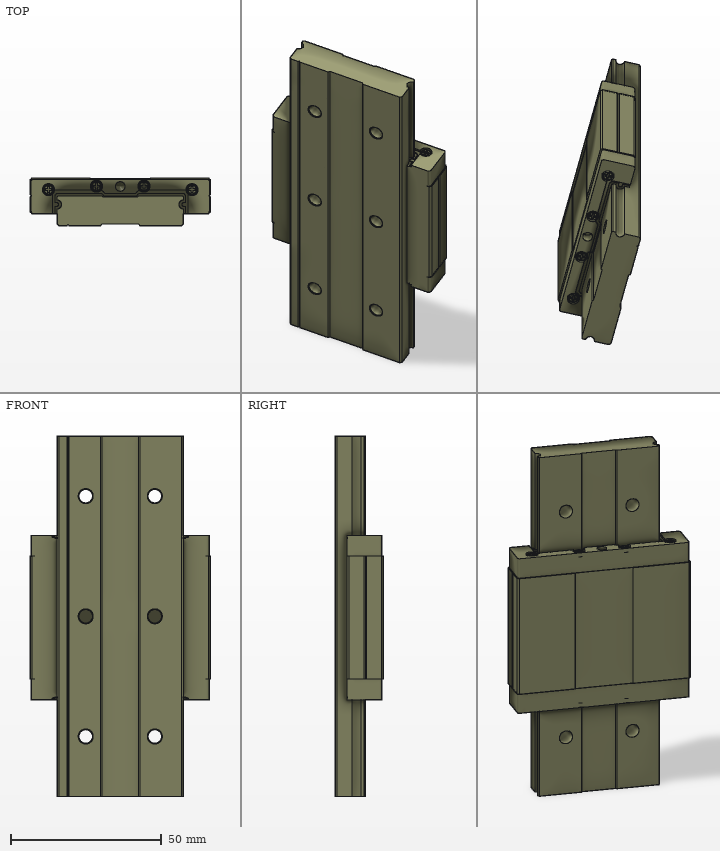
import cadquery as cq
import math


RAIL_LENGTH = 120.0
RAIL_WIDTH = 42.0
RAIL_HEIGHT = 10.0
RAIL_CHAMFER = 0.6
RAIL_TOP_CHAMFER = 0.4
BASE_RELIEF_HALF_WIDTH = 6.6
BASE_RELIEF_DEPTH = 0.55
TOP_RELIEF_HALF_WIDTH = 6.2
TOP_RELIEF_DEPTH = 0.4
RACE_RADIUS = 1.5
RACE_HEIGHT = 7.1
RACE_ARC_BULGE = 0.68
MARK_GROOVE_X = -17.4
MARK_GROOVE_DEPTH = 0.4
HOLE_DIAMETER = 4.5
HOLE_CHAMFER = 0.25
HOLE_SPACING_X = 23.0
HOLE_PITCH_Z = 40.0

CARRIAGE_WIDTH = 60.0
CARRIAGE_LENGTH = 54.8
CARRIAGE_OFFSET_Z = -0.45
CARRIAGE_BOTTOM = 4.0
CARRIAGE_TOP = 16.0
BODY_LENGTH = 41.0
BODY_CHAMFER = 0.65
BACK_RELIEF_WIDTH = 20.0
BACK_RELIEF_DEPTH = 0.3
SIDE_GROOVE_HEIGHT = 10.0
SIDE_GROOVE_DEPTH = 0.4
CAP_SIDE_INSET = 0.35
CAP_TOP_INSET = 0.5
CAP_BOTTOM_FILLET = 1.05
CAP_TOP_FILLET = 0.7

END_GAP = 0.8
END_GAP_DEPTH = 1.0
END_GAP_CHAMFER = 0.7
MOUTH_STEP = 0.8
MOUTH_STEP_HEIGHT = 1.1
MOUTH_DEPTH = 0.7
RETAINER_RADIUS = 0.7
RETAINER_REACH = 1.25

OUTER_SCREW = (23.9, 12.05)
INNER_SCREW = (7.9, 13.2)
SCREW_POCKET_DIAMETER = 4.0
SCREW_POCKET_DEPTH = 1.5
SCREW_HEAD_DIAMETER = 3.4
SCREW_HEAD_HEIGHT = 1.3
SCREW_HEAD_CHAMFER = 0.3
CROSS_LENGTH = 2.0
CROSS_WIDTH = 0.6
CROSS_DEPTH = 0.7
PORT_HEIGHT = 13.1
PORT_DIAMETER = 3.2
PORT_DEPTH = 4.0
DRILL_POINT_ANGLE = 118.0

SIDES = (-1, 1)


def extrude_centred(outline, length):
    """Extrude a wire workplane lying in XY by the given length, half to each side of Z = 0."""
    return outline.extrude(length / 2, both=True)


def box(x_size, y_low, y_high, z_size):
    """Box centred on X and Z, between two heights."""
    return cq.Workplane("XY").box(x_size, y_high - y_low, z_size).translate((0, (y_low + y_high) / 2, 0))


def prism_along_z(x, y, diagonal_half, length):
    """Square prism standing on its corner, which cuts a V groove in a flat face."""
    points = [(x - diagonal_half, y), (x, y - diagonal_half), (x + diagonal_half, y), (x, y + diagonal_half)]
    return extrude_centred(cq.Workplane("XY").polyline(points).close(), length)


def trapezoid_along_z(y_face, y_floor, half_width, length):
    """Shallow trough with 45 degree flanks; half_width is measured at the face."""
    floor_half_width = half_width - abs(y_face - y_floor)
    points = [
        (-half_width, y_face),
        (half_width, y_face),
        (floor_half_width, y_floor),
        (-floor_half_width, y_floor),
    ]
    return extrude_centred(cq.Workplane("XY").polyline(points).close(), length)


def race_groove(side):
    """Ball groove in one rail side: an upper and a lower arc that meet in a slight point."""
    edge = side * RAIL_WIDTH / 2
    bottom = edge - side * RACE_RADIUS
    diagonal = RACE_RADIUS * RACE_ARC_BULGE
    outline = (
        cq.Workplane("XY")
        .moveTo(edge, RACE_HEIGHT + RACE_RADIUS)
        .threePointArc((edge - side * diagonal, RACE_HEIGHT + diagonal), (bottom, RACE_HEIGHT))
        .threePointArc((edge - side * diagonal, RACE_HEIGHT - diagonal), (edge, RACE_HEIGHT - RACE_RADIUS))
        .close()
    )
    return extrude_centred(outline, RAIL_LENGTH)


def rail_mounting_hole(x, z):
    """Through hole along Y with a chamfered mouth in the mounting face."""
    radius = HOLE_DIAMETER / 2
    outline = [
        (0, 0),
        (radius + HOLE_CHAMFER, 0),
        (radius, HOLE_CHAMFER),
        (radius, RAIL_HEIGHT),
        (0, RAIL_HEIGHT),
    ]
    hole = cq.Workplane("XY").polyline(outline).close().revolve(360, (0, 0, 0), (0, 1, 0))
    return hole.translate((x, 0, z))


def make_rail_bar():
    """Full rail section over the whole length, without the mounting holes."""
    rail = box(RAIL_WIDTH, 0, RAIL_HEIGHT, RAIL_LENGTH)
    rail = rail.faces("<Y").edges("|Z").chamfer(RAIL_CHAMFER)
    rail = rail.faces(">Y").edges("|Z").chamfer(RAIL_TOP_CHAMFER)
    rail = rail.cut(trapezoid_along_z(0, BASE_RELIEF_DEPTH, BASE_RELIEF_HALF_WIDTH, RAIL_LENGTH))
    top_floor = RAIL_HEIGHT - TOP_RELIEF_DEPTH
    rail = rail.cut(trapezoid_along_z(RAIL_HEIGHT, top_floor, TOP_RELIEF_HALF_WIDTH, RAIL_LENGTH))
    rail = rail.cut(prism_along_z(MARK_GROOVE_X, 0, MARK_GROOVE_DEPTH, RAIL_LENGTH))
    for side in SIDES:
        rail = rail.cut(race_groove(side))
    return rail


def make_rail():
    rail = make_rail_bar()
    for side in SIDES:
        for row in (-1, 0, 1):
            rail = rail.cut(rail_mounting_hole(side * HOLE_SPACING_X / 2, row * HOLE_PITCH_Z))
    return rail


def end_clearance(half_width, top, dip, depth):
    """Cut around the rail at both ends: chamfered top corners, and a middle that dips into the relief."""
    right_half = [
        (TOP_RELIEF_HALF_WIDTH - dip, top - dip),
        (TOP_RELIEF_HALF_WIDTH, top),
        (half_width - END_GAP_CHAMFER, top),
        (half_width, top - END_GAP_CHAMFER),
        (half_width, CARRIAGE_BOTTOM),
    ]
    left_half = [(-x, y) for x, y in reversed(right_half)]
    outline = cq.Workplane("XY").polyline(right_half + left_half).close()
    middle = box(CARRIAGE_WIDTH, 0, CARRIAGE_TOP, CARRIAGE_LENGTH - 2 * depth)
    return extrude_centred(outline, CARRIAGE_LENGTH).cut(middle)


def retainer(side, wall_x):
    """Round-nosed rib on a clearance wall, reaching into the rail's ball groove."""
    nose_centre = wall_x - RETAINER_REACH + RETAINER_RADIUS
    rib_root = wall_x + RETAINER_RADIUS
    outline = (
        cq.Workplane("XY")
        .moveTo(side * rib_root, RACE_HEIGHT + RETAINER_RADIUS)
        .lineTo(side * nose_centre, RACE_HEIGHT + RETAINER_RADIUS)
        .threePointArc(
            (side * (nose_centre - RETAINER_RADIUS), RACE_HEIGHT),
            (side * nose_centre, RACE_HEIGHT - RETAINER_RADIUS),
        )
        .lineTo(side * rib_root, RACE_HEIGHT - RETAINER_RADIUS)
        .close()
    )
    return extrude_centred(outline, CARRIAGE_LENGTH - 2 * MOUTH_DEPTH)


def screw_pocket(x, y):
    """Round pocket in the upper end face."""
    floor = CARRIAGE_LENGTH / 2 - SCREW_POCKET_DEPTH
    return cq.Workplane("XY", (x, y, floor)).circle(SCREW_POCKET_DIAMETER / 2).extrude(SCREW_POCKET_DEPTH)


def screw_head(x, y):
    """Chamfered cross-recessed head standing on its pocket floor."""
    floor = CARRIAGE_LENGTH / 2 - SCREW_POCKET_DEPTH
    head = cq.Workplane("XY").circle(SCREW_HEAD_DIAMETER / 2).extrude(SCREW_HEAD_HEIGHT)
    head = head.faces(">Z").chamfer(SCREW_HEAD_CHAMFER)
    cross = cq.Workplane("XY", (0, 0, SCREW_HEAD_HEIGHT - CROSS_DEPTH)).rect(CROSS_LENGTH, CROSS_WIDTH)
    cross = cross.extrude(CROSS_DEPTH)
    cross = cross.union(cross.rotate((0, 0, 0), (0, 0, 1), 90))
    return head.cut(cross).translate((x, y, floor))


def lubrication_port():
    """Drilled blind hole with a conical bottom in the upper end face."""
    radius = PORT_DIAMETER / 2
    point = radius / math.tan(math.radians(DRILL_POINT_ANGLE / 2))
    outline = [(0, 0), (radius, 0), (radius, -PORT_DEPTH), (0, -PORT_DEPTH - point)]
    hole = cq.Workplane("XZ").polyline(outline).close().revolve(360, (0, 0, 0), (0, 1, 0))
    return hole.translate((0, PORT_HEIGHT, CARRIAGE_LENGTH / 2))


def flip_end(shape):
    """Copy of an upper-end feature at the lower end."""
    return shape.mirror("XY")


def make_carriage():
    body = box(CARRIAGE_WIDTH, CARRIAGE_BOTTOM, CARRIAGE_TOP, BODY_LENGTH).edges("|Z").chamfer(BODY_CHAMFER)
    back_floor = CARRIAGE_TOP - BACK_RELIEF_DEPTH
    body = body.cut(box(BACK_RELIEF_WIDTH, back_floor, CARRIAGE_TOP, BODY_LENGTH))
    for side in SIDES:
        groove_x = side * CARRIAGE_WIDTH / 2
        body = body.cut(prism_along_z(groove_x, SIDE_GROOVE_HEIGHT, SIDE_GROOVE_DEPTH, BODY_LENGTH))

    cap_width = CARRIAGE_WIDTH - 2 * CAP_SIDE_INSET
    caps = box(cap_width, CARRIAGE_BOTTOM, CARRIAGE_TOP - CAP_TOP_INSET, CARRIAGE_LENGTH)
    caps = caps.faces("<Y").edges("|Z").fillet(CAP_BOTTOM_FILLET)
    caps = caps.faces(">Y").edges("|Z").fillet(CAP_TOP_FILLET)
    caps = caps.cut(box(CARRIAGE_WIDTH, 0, CARRIAGE_TOP, BODY_LENGTH))
    carriage = body.union(caps)

    gap_half_width = RAIL_WIDTH / 2 + END_GAP
    gap_top = RAIL_HEIGHT + END_GAP
    step_half_width = gap_half_width + MOUTH_STEP
    step_top = gap_top + MOUTH_STEP_HEIGHT
    carriage = carriage.cut(end_clearance(gap_half_width, gap_top, END_GAP, END_GAP_DEPTH))
    for side in SIDES:
        carriage = carriage.union(retainer(side, gap_half_width))
    carriage = carriage.cut(end_clearance(step_half_width, step_top, MOUTH_STEP_HEIGHT, MOUTH_DEPTH))
    carriage = carriage.cut(make_rail_bar())

    for side in SIDES:
        for x, y in (OUTER_SCREW, INNER_SCREW):
            pocket = screw_pocket(side * x, y)
            head = screw_head(side * x, y)
            carriage = carriage.cut(pocket).cut(flip_end(pocket))
            carriage = carriage.union(head).union(flip_end(head))
    port = lubrication_port()
    carriage = carriage.cut(port).cut(flip_end(port))
    return carriage.solids().translate((0, 0, CARRIAGE_OFFSET_Z))


rail = make_rail()
carriage = make_carriage()
result = cq.Compound.makeCompound([rail.val(), carriage.val()])